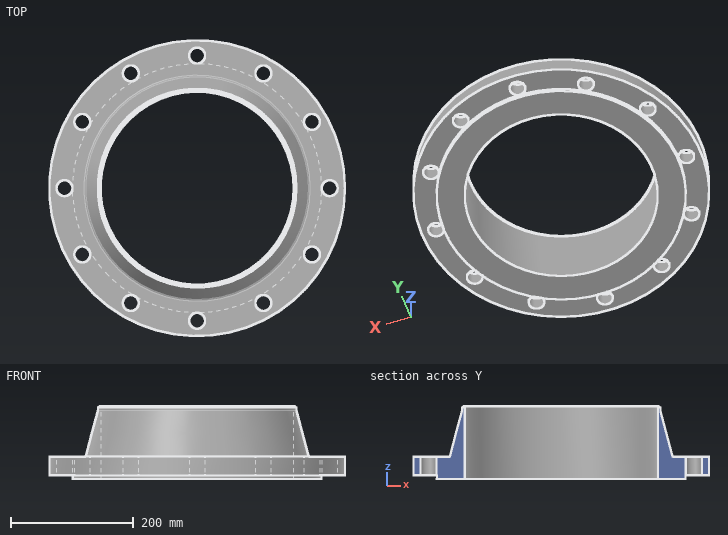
import cadquery as cq
import math

flange_diameter = 482.5
flange_thickness = 30.5
face_diameter = 406.0
face_height = 6.5
total_height = 119.0

bolt_count = 12
bolt_circle_diameter = 432.5
bolt_hole_diameter = 25.5

hub_base_diameter = 364.5
neck_diameter = 324.0
neck_height = 7.0
root_fillet_radius = 3.0
bore_diameter = 314.5
bevel_width = 3.5
bevel_angle = 37.5

flange_top = face_height + flange_thickness
neck_bottom = total_height - neck_height
bevel_bottom = total_height - bevel_width * math.tan(math.radians(bevel_angle))


def make_base():
    """Raised face with the flange plate on top of it."""
    face = cq.Workplane("XY").circle(face_diameter / 2).extrude(face_height)
    plate = (
        cq.Workplane("XY")
        .workplane(offset=face_height)
        .circle(flange_diameter / 2)
        .extrude(flange_thickness)
    )
    return face.union(plate)


def make_hub():
    """Tapered hub ending in a short straight neck with a weld bevel."""
    neck_radius = neck_diameter / 2
    profile = (
        cq.Workplane("XZ")
        .moveTo(0, flange_top)
        .lineTo(hub_base_diameter / 2, flange_top)
        .lineTo(neck_radius, neck_bottom)
        .lineTo(neck_radius, bevel_bottom)
        .lineTo(neck_radius - bevel_width, total_height)
        .lineTo(0, total_height)
        .close()
    )
    return profile.revolve(360, (0, 0, 0), (0, 1, 0))


def fillet_hub_root(body):
    """Round the inside corner where the hub meets the flange plate."""
    reach = hub_base_diameter / 2 + root_fillet_radius
    margin = root_fillet_radius / 2
    root_edge = cq.selectors.BoxSelector(
        (-reach, -reach, flange_top - margin),
        (reach, reach, flange_top + margin),
        boundingbox=True,
    )
    return body.edges(root_edge).fillet(root_fillet_radius)


def make_bore():
    """Straight bore through the whole part."""
    return cq.Workplane("XY").circle(bore_diameter / 2).extrude(total_height)


def make_bolt_holes():
    """Ring of through holes in the plate, the first one on the +X axis."""
    return (
        cq.Workplane("XY")
        .polarArray(bolt_circle_diameter / 2, 0, 360, bolt_count)
        .circle(bolt_hole_diameter / 2)
        .extrude(flange_top)
    )


body = fillet_hub_root(make_base().union(make_hub()))
result = body.cut(make_bore()).cut(make_bolt_holes())